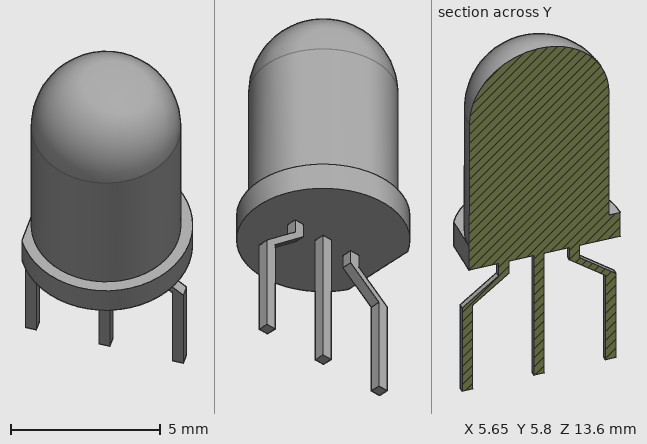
import cadquery as cq

total_height = 13.6
lens_diameter = 5.0
lens_radius = lens_diameter / 2

flange_diameter = 5.8
flange_thickness = 1.0
flange_bottom = 5.0
flange_top = flange_bottom + flange_thickness

lead_width = 0.38
outer_lead_reach = 2.75
lead_foot_x = outer_lead_reach - lead_width / 2
lead_root_x = 1.26
upper_bend_z = 4.5
lower_bend_z = 3.51
long_lead_end_z = 0
short_lead_end_z = 0.03


def make_lens():
    dome_start = total_height - lens_radius
    cylinder = (
        cq.Workplane("XY")
        .workplane(offset=flange_bottom)
        .circle(lens_radius)
        .extrude(dome_start - flange_bottom)
    )
    dome = cq.Workplane("XY").sphere(lens_radius).translate((0, 0, dome_start))
    return cylinder.union(dome)


def make_flange():
    disc = (
        cq.Workplane("XY")
        .workplane(offset=flange_bottom)
        .circle(flange_diameter / 2)
        .extrude(flange_thickness)
    )
    keep_right_of_flat = (
        cq.Workplane("XY")
        .box(flange_diameter, flange_diameter, flange_top, centered=(False, True, False))
        .translate((-lens_radius, 0, 0))
    )
    return disc.intersect(keep_right_of_flat)


def make_center_lead():
    return (
        cq.Workplane("XY")
        .workplane(offset=short_lead_end_z)
        .rect(lead_width, lead_width)
        .extrude(flange_bottom - short_lead_end_z)
    )


def make_outer_lead(side, end_z):
    """Cranked lead on the +X (side = 1) or -X (side = -1) side."""
    half = lead_width / 2
    outline = [
        (lead_root_x - half, flange_bottom),
        (lead_root_x - half, upper_bend_z),
        (lead_foot_x - half, lower_bend_z),
        (lead_foot_x - half, end_z),
        (lead_foot_x + half, end_z),
        (lead_foot_x + half, lower_bend_z),
        (lead_root_x + half, upper_bend_z),
        (lead_root_x + half, flange_bottom),
    ]
    return (
        cq.Workplane("XZ")
        .polyline([(side * x, z) for x, z in outline])
        .close()
        .extrude(half, both=True)
    )


result = (
    make_lens()
    .union(make_flange())
    .union(make_center_lead())
    .union(make_outer_lead(-1, short_lead_end_z))
    .union(make_outer_lead(1, long_lead_end_z))
)